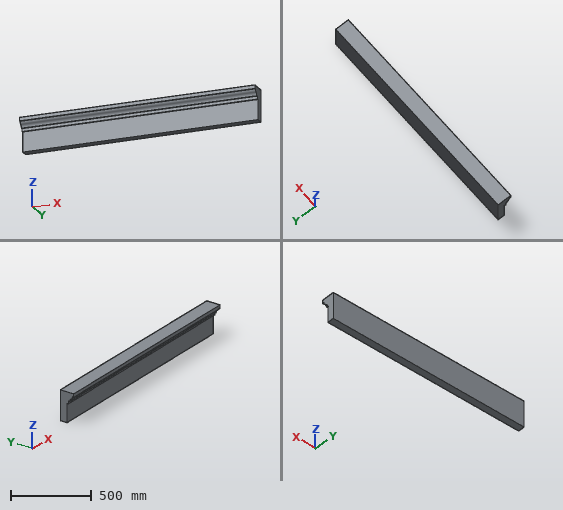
import cadquery as cq
import math

length = 1574.0
depth = 102.0
height = 212.0

step = 10.2
curve_depth = 20.0
lip_height = 24.0
curve_height = 38.0
fillet_band_height = 19.0

front = -depth / 2
back = depth / 2
top = height / 2
bottom = -height / 2

curve_top_y = front + step
curve_bottom_y = curve_top_y + curve_depth
band_y = curve_bottom_y + step
wall_y = band_y + step

lip_z = top - lip_height
curve_bottom_z = lip_z - curve_height
band_bottom_z = curve_bottom_z - fillet_band_height

curve_middle = ((curve_top_y + curve_bottom_y) / 2, (lip_z + curve_bottom_z) / 2)
arc_angle = 2 * math.atan2(curve_depth, curve_height)
arc_radius = curve_height / 2 / math.sin(arc_angle)
bulge_y = arc_radius * (1 - math.cos(arc_angle / 2))
bulge_z = arc_radius * math.sin(arc_angle / 2)
upper_arc_point = (curve_top_y + bulge_y, lip_z - bulge_z)
lower_arc_point = (curve_bottom_y - bulge_y, curve_bottom_z + bulge_z)

profile = (
    cq.Workplane("YZ", origin=(-length / 2, 0, 0))
    .moveTo(back, bottom)
    .lineTo(back, top)
    .lineTo(front, top)
    .lineTo(front, lip_z)
    .lineTo(curve_top_y, lip_z)
    .threePointArc(upper_arc_point, curve_middle)
    .threePointArc(lower_arc_point, (curve_bottom_y, curve_bottom_z))
    .lineTo(band_y, curve_bottom_z)
    .lineTo(band_y, band_bottom_z)
    .lineTo(wall_y, band_bottom_z)
    .lineTo(wall_y, bottom)
    .close()
)

result = profile.extrude(length)